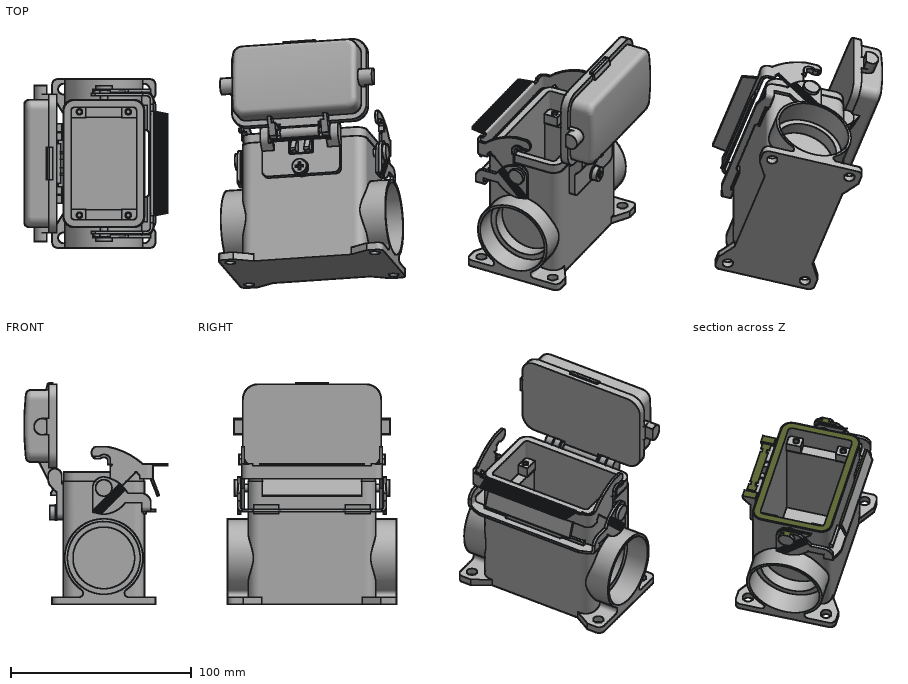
import cadquery as cq
import math

TOTAL_HEIGHT = 122.7

PLATE_LENGTH = 57.3
PLATE_WIDTH = 93.5
PLATE_THICKNESS = 4.0
PLATE_CORNER = 3.3
EAR_OUTER_Y = 37.9
EAR_INNER_Y = 27.7
HOLE_X = 22.3
HOLE_Y = 41.1
HOLE_DIAMETER = 5.8

BODY_LENGTH = 45.0
BODY_WIDTH = 70.7
BODY_TOP = 73.4
BODY_CORNER = 6.1
RIM_BOTTOM = 68.2
RIM_INSET = 0.4
CAVITY_LENGTH = 36.2
CAVITY_WIDTH = 62.1
CAVITY_CORNER = 1.8
CAVITY_NARROW_WIDTH = 51.0
LEDGE_TOP = 55.2
PAD_LENGTH = 8.1
PAD_WIDTH = 5.9
PAD_TOP = 61.4
PAD_HOLE_X = 13.5
PAD_HOLE_Y = 28.6
PAD_HOLE_DIAMETER = 2.6
PAD_HOLE_DEPTH = 7.4
PAD_MOUTH_DIAMETER = 3.3
PAD_MOUTH_DEPTH = 0.6

COLLAR_Z = 25.8
COLLAR_RADIUS = 21.6
COLLAR_MOUTH_RADIUS = 20.1
COLLAR_MOUTH_DEPTH = 13.0
COLLAR_BORE_RADIUS = 17.0
COLLAR_BORE_DEPTH = 20.3
COLLAR_ROOT_RADIUS = 2.2

COVER_BACK_X = -25.9
COVER_FLANGE_X = -30.3
COVER_FRONT_X = -44.2
COVER_CENTER_Z = 98.7
FLANGE_WIDTH = 76.6
FLANGE_HEIGHT = 46.3
FLANGE_CORNER = 8.3
COVER_WIDTH = 70.6
COVER_HEIGHT = 40.0
COVER_CORNER = 5.5
COVER_BULGE = 1.4
COVER_EDGE_ROUND = 3.0
PEG_X = -34.0
PEG_Z = 98.3
PEG_FLAT_X = -31.5
PEG_RADIUS = 4.5
PEG_SPAN = 86.3
PEG_FLAT_ROUND = 1.1
TAB_WIDTH = 17.9
TAB_SLOPE = 0.9

HINGE_X = -27.0
HINGE_Z = 71.3
HINGE_RADIUS = 3.8
BARREL_Z = 70.7
BARREL_RADIUS = 3.2
WEB_BOTTOM = 73.8
BRACKET_X = -26.0
BRACKET_WIDTH = 44.2
BRACKET_BOTTOM = 47.1
BRACKET_TOP = 66.9
BRACKET_CORNER = 3.2
BRACKET_EAR_WIDTH = 4.5
EAR_BACK_BOTTOM = 65.7
GUSSET_WIDTH = 6.9
GUSSET_BOTTOM = 61.9
GUSSET_TOP = 65.3
GUSSET_X = -29.3
KNUCKLE_WIDTH = 33.9
BARREL_WIDTH = 21.8
ARM_WIDTH = 4.0
ARM_RIB_WIDTH = 2.1
ARM_TOP_X = -35.8
ARM_DROP = 2.5
ARM_OVERLAP = 1.2
STRIP_X = (-28.5, -25.8)
STRIP_Z = (67.5, 69.3)

WINDOW_WIDTH = 12.8
WINDOW_BOTTOM = 59.8
WINDOW_CORNER = 1.0
REBATE_WIDTH = 0.6
REBATE_DEPTH = 0.7
LUG_WIDTH = 3.0
LUG_Y = 3.9
LUG_X = -29.2
LUG_TOP_X = -26.1
LUG_BOTTOM = 60.4
LUG_STEP = 1.4
SCREW_Z = 50.8
SCREW_RADIUS = 4.0
SCREW_HEAD_X = -30.0
SCREW_WASHER_RADIUS = 4.3
SCREW_WASHER_THICKNESS = 0.7
CROSS_LENGTH = 4.4
CROSS_WIDTH = 1.1
CROSS_DEPTH = 1.0

WALL_EMBED = 1.2
PIVOT_Z = 64.4
PIN_RADIUS = 2.1
PIN_HEAD_RADIUS = 4.5
PIN_HEAD_THICKNESS = 1.8
INNER_SHEET_Y = 37.4
INNER_SHEET_THICKNESS = 1.5
OUTER_SHEET_Y = 39.4
OUTER_SHEET_THICKNESS = 1.7
HUB_RADIUS = 6.1
BACKING_HALF_WIDTH = 4.9
BACKING_BOTTOM = 51.5
HOOK_TIP = (-4.7, 80.5)
HOOK_NECK = (-1.8, 80.5)
HOOK_CREST = (0.2, 81.4)
HOOK_FOOT_X = 2.1
HOOK_FOOT_Z = 77.3
LIP_OUTER_Y = 40.4
LIP_THICKNESS = 1.6
CROSSBAR_X = 27.2
CROSSBAR_BOTTOM = 69.5
CROSSBAR_TOP = 77.8
CROSSBAR_BEND = 3.7
GRIP_LENGTH = 8.2
GRIP_WIDTH = 57.9
GRIP_TIP_WIDTH = 54.7
GRIP_THICKNESS = 1.2
GRIP_BEND = 1.1
RIB_PITCH = 0.9
RIB_GAP = 0.4
RIB_DEPTH = 0.2
RELIEF_WIDTH = 3.7
RELIEF_DEPTH = 1.1
FLAP_TIP_X = 30.7
FLAP_TIP_Z = 59.9
FLAP_TIP_RUN = 1.1
FLAP_TIP_RISE = 0.5
FLAP_OVERLAP = 0.9
FOOT_X = 21.1
FOOT_TIP_X = 28.7
FOOT_BOTTOM = 51.3
FOOT_THICKNESS = 1.5
FOOT_INNER_Y = 18.4
FOOT_INNER_X = 24.8
FOOT_CHAMFER = 1.0
FOOT_BEND = 2.7
ARM_END_X = 26.0
ARM_END_Z = 54.4
CATCH_X = 23.3
CATCH_BOTTOM = 50.1
CATCH_TOP = 55.2
CATCH_TOP_X = 24.0
CATCH_WIDTH = 13.9
GROOVE_COUNT = 5
GROOVE_LENGTH = 24.5
GROOVE_CENTER = (3.0, 58.4)
GROOVE_SPACING = 1.0
GROOVE_WIDTH = 0.5
GROOVE_DEPTH = 0.4


def box(x_range, y_range, z_range):
    """Axis-aligned block between pairs of limits."""
    size = [high - low for low, high in (x_range, y_range, z_range)]
    return cq.Workplane("XY").box(*size, centered=False).translate((x_range[0], y_range[0], z_range[0]))


def side_plane(y):
    """Sketch plane with local axes X, Z; a negative extrusion runs toward +Y."""
    return cq.Workplane(cq.Plane(origin=(0, y, 0), xDir=(1, 0, 0), normal=(0, -1, 0)))


def face_plane(x):
    """Sketch plane with local axes Y, Z whose extrusions run toward +X."""
    return cq.Workplane("YZ", origin=(x, 0, 0))


def both_sides(shape):
    """The shape together with its mirror image across the XZ plane."""
    return shape.union(shape.mirror("XZ"))


def rod(x, z, radius, y_start, y_end):
    """Cylinder parallel to Y."""
    return side_plane(y_start).center(x, z).circle(radius).extrude(y_start - y_end)


def mounting_plate():
    half_length = PLATE_LENGTH / 2
    half_width = PLATE_WIDTH / 2
    half_body = BODY_LENGTH / 2
    quarter = [
        (half_body, EAR_INNER_Y),
        (half_length, EAR_OUTER_Y),
        (half_length, half_width),
    ]
    outline = quarter + [(-x, y) for x, y in reversed(quarter)]
    outline += [(-x, -y) for x, y in outline]
    plate = cq.Workplane("XY").polyline(outline).close().extrude(PLATE_THICKNESS)
    for sx in (-1, 1):
        for sy in (-1, 1):
            x = sx * half_length
            y = sy * half_width
            nearest = cq.selectors.NearestToPointSelector((x, y, PLATE_THICKNESS / 2))
            plate = plate.edges("|Z").edges(nearest).fillet(PLATE_CORNER)
    return plate


def collar_root():
    """Web between collars and plate, with a concave round tangent to both."""
    root_z = PLATE_THICKNESS + COLLAR_ROOT_RADIUS
    reach = COLLAR_RADIUS + COLLAR_ROOT_RADIUS
    drop = COLLAR_Z - root_z
    root_x = math.sqrt(reach**2 - drop**2)
    tangent_z = COLLAR_Z - drop * COLLAR_RADIUS / reach
    half_width = PLATE_WIDTH / 2
    web = box((-root_x, root_x), (-half_width, half_width), (0, tangent_z))
    for side in (-1, 1):
        web = web.cut(rod(side * root_x, root_z, COLLAR_ROOT_RADIUS, -half_width, half_width))
    return web


def housing():
    half_width = PLATE_WIDTH / 2
    body = cq.Workplane("XY").rect(BODY_LENGTH, BODY_WIDTH).extrude(RIM_BOTTOM)
    body = body.edges("|Z").fillet(BODY_CORNER)
    rim = cq.Workplane("XY", origin=(0, 0, RIM_BOTTOM))
    rim = rim.rect(BODY_LENGTH - 2 * RIM_INSET, BODY_WIDTH - 2 * RIM_INSET).extrude(BODY_TOP - RIM_BOTTOM)
    rim = rim.edges("|Z").fillet(BODY_CORNER - RIM_INSET)
    body = body.union(rim).union(mounting_plate()).union(collar_root())
    body = body.union(rod(0, COLLAR_Z, COLLAR_RADIUS, -half_width, half_width))

    cavity = cq.Workplane("XY", origin=(0, 0, LEDGE_TOP))
    cavity = cavity.rect(CAVITY_LENGTH, CAVITY_WIDTH).extrude(BODY_TOP - LEDGE_TOP)
    cavity = cavity.edges("|Z").fillet(CAVITY_CORNER)
    well = cq.Workplane("XY", origin=(0, 0, PLATE_THICKNESS))
    well = well.rect(CAVITY_LENGTH, CAVITY_NARROW_WIDTH).extrude(LEDGE_TOP - PLATE_THICKNESS)
    pads = cq.Workplane("XY", origin=(0, 0, LEDGE_TOP))
    pads = pads.rect(CAVITY_LENGTH - PAD_LENGTH, CAVITY_WIDTH - PAD_WIDTH, forConstruction=True).vertices()
    pads = pads.rect(PAD_LENGTH, PAD_WIDTH).extrude(PAD_TOP - LEDGE_TOP)
    body = body.cut(cavity.cut(pads)).cut(well)

    pad_holes = cq.Workplane("XY", origin=(0, 0, PAD_TOP))
    pad_holes = pad_holes.rect(2 * PAD_HOLE_X, 2 * PAD_HOLE_Y, forConstruction=True).vertices()
    pad_mouths = pad_holes.circle(PAD_MOUTH_DIAMETER / 2).extrude(-PAD_MOUTH_DEPTH)
    pad_holes = pad_holes.circle(PAD_HOLE_DIAMETER / 2).extrude(-PAD_HOLE_DEPTH).union(pad_mouths)
    plate_holes = cq.Workplane("XY").rect(2 * HOLE_X, 2 * HOLE_Y, forConstruction=True).vertices()
    plate_holes = plate_holes.circle(HOLE_DIAMETER / 2).extrude(PLATE_THICKNESS)
    mouth = rod(0, COLLAR_Z, COLLAR_MOUTH_RADIUS, half_width - COLLAR_MOUTH_DEPTH, half_width)
    bore = rod(0, COLLAR_Z, COLLAR_BORE_RADIUS, half_width - COLLAR_BORE_DEPTH, half_width)
    return body.cut(pad_holes).cut(plate_holes).cut(both_sides(mouth.union(bore)))


def cover():
    flange = face_plane(COVER_FLANGE_X).center(0, COVER_CENTER_Z).rect(FLANGE_WIDTH, FLANGE_HEIGHT)
    flange = flange.extrude(COVER_BACK_X - COVER_FLANGE_X).edges("|X").fillet(FLANGE_CORNER)
    flange_top = COVER_CENTER_Z + FLANGE_HEIGHT / 2

    low = COVER_CENTER_Z - COVER_HEIGHT / 2
    high = COVER_CENTER_Z + COVER_HEIGHT / 2
    edge_x = COVER_FRONT_X + COVER_BULGE
    shell = face_plane(COVER_FRONT_X).center(0, COVER_CENTER_Z).rect(COVER_WIDTH, COVER_HEIGHT)
    shell = shell.extrude(COVER_FLANGE_X - COVER_FRONT_X).edges("|X").fillet(COVER_CORNER)
    bulged = side_plane(-COVER_WIDTH / 2).moveTo(COVER_FLANGE_X, low).lineTo(edge_x, low)
    bulged = bulged.threePointArc((COVER_FRONT_X, COVER_CENTER_Z), (edge_x, high))
    bulged = bulged.lineTo(COVER_FLANGE_X, high).close().extrude(-COVER_WIDTH)
    shell = shell.intersect(bulged).faces("<X").edges().fillet(COVER_EDGE_ROUND)

    pegs = rod(PEG_X, PEG_Z, PEG_RADIUS, -PEG_SPAN / 2, PEG_SPAN / 2)
    peg_z = (PEG_Z - PEG_RADIUS, PEG_Z + PEG_RADIUS)
    peg_limits = box((PEG_X - PEG_RADIUS, PEG_FLAT_X), (-PEG_SPAN / 2, PEG_SPAN / 2), peg_z)
    pegs = pegs.intersect(peg_limits.edges("|Y and >X").fillet(PEG_FLAT_ROUND))
    necks = box((PEG_X, COVER_FLANGE_X), (-FLANGE_WIDTH / 2, FLANGE_WIDTH / 2), peg_z)

    tab_outline = [
        (COVER_FLANGE_X, high),
        (-31.9, high),
        (-31.2, TOTAL_HEIGHT - TAB_SLOPE),
        (-30.1, TOTAL_HEIGHT),
        (-28.4, TOTAL_HEIGHT),
        (-28.4, flange_top),
        (COVER_FLANGE_X, flange_top),
    ]
    tab = side_plane(-TAB_WIDTH / 2).polyline(tab_outline).close().extrude(-TAB_WIDTH)
    return flange.union(shell).union(pegs).union(necks).union(tab)


def cover_hinge_arms():
    """Arms hanging from the cover with the barrel that turns between the bracket ears."""
    half = KNUCKLE_WIDTH / 2
    cover_bottom = COVER_CENTER_Z - COVER_HEIGHT / 2
    flange_bottom = COVER_CENTER_Z - FLANGE_HEIGHT / 2
    arm_outline = [
        (ARM_TOP_X, cover_bottom),
        (HINGE_X - HINGE_RADIUS, HINGE_Z - ARM_DROP),
        (HINGE_X, HINGE_Z),
        (HINGE_X, flange_bottom + ARM_OVERLAP),
        (COVER_FLANGE_X, cover_bottom),
    ]
    rib = side_plane(half - ARM_RIB_WIDTH).polyline(arm_outline).close().extrude(-ARM_RIB_WIDTH)
    arm = side_plane(half - ARM_WIDTH).polyline(arm_outline).close().extrude(-ARM_WIDTH)
    lower_half = box((COVER_FRONT_X, 0), (0, half), (0, flange_bottom))
    knuckle = rod(HINGE_X, HINGE_Z, HINGE_RADIUS, half - ARM_WIDTH, half)
    side_arms = both_sides(rib.union(arm.intersect(lower_half)).union(knuckle))
    pin = rod(HINGE_X, HINGE_Z, HINGE_RADIUS / 2, -BRACKET_WIDTH / 2, BRACKET_WIDTH / 2)
    barrel = rod(HINGE_X, BARREL_Z, BARREL_RADIUS, -BARREL_WIDTH / 2, BARREL_WIDTH / 2)
    web_z = (WEB_BOTTOM, flange_bottom + ARM_OVERLAP)
    web = box((COVER_FLANGE_X, COVER_BACK_X), (-BARREL_WIDTH / 2, BARREL_WIDTH / 2), web_z)
    strip = box(STRIP_X, (-half, half), STRIP_Z)
    return side_arms.union(barrel).union(web).union(strip).union(pin)


def hinge_bracket():
    wall_x = -BODY_LENGTH / 2
    half = BRACKET_WIDTH / 2
    plate = box((BRACKET_X, wall_x), (-half, half), (BRACKET_BOTTOM, BRACKET_TOP))
    plate = plate.edges("|X and <Z").fillet(BRACKET_CORNER)

    left = HINGE_X - HINGE_RADIUS
    right = HINGE_X + HINGE_RADIUS
    ear = side_plane(half - BRACKET_EAR_WIDTH).moveTo(left, HINGE_Z)
    ear = ear.threePointArc((HINGE_X, HINGE_Z + HINGE_RADIUS), (right, HINGE_Z))
    ear = ear.lineTo(right, EAR_BACK_BOTTOM).lineTo(wall_x, EAR_BACK_BOTTOM)
    ear = ear.lineTo(wall_x, WINDOW_BOTTOM).lineTo(BRACKET_X, WINDOW_BOTTOM)
    ear = ear.lineTo(BRACKET_X, GUSSET_BOTTOM)
    ear = ear.lineTo(GUSSET_X, GUSSET_TOP).threePointArc((-30.4, 67.0), (left, 68.6))
    ear = ear.close().extrude(-BRACKET_EAR_WIDTH)

    gusset = side_plane(half - GUSSET_WIDTH).moveTo(BRACKET_X, GUSSET_BOTTOM)
    gusset = gusset.lineTo(GUSSET_X, GUSSET_TOP).lineTo(BRACKET_X, GUSSET_TOP)
    ear = ear.union(gusset.close().extrude(-GUSSET_WIDTH))

    window = box((BRACKET_X, wall_x), (-WINDOW_WIDTH / 2, WINDOW_WIDTH / 2), (WINDOW_BOTTOM, BRACKET_TOP))
    window = window.edges("|X and <Z").fillet(WINDOW_CORNER)
    rebate_half = WINDOW_WIDTH / 2 + REBATE_WIDTH
    rebate_z = (WINDOW_BOTTOM - REBATE_WIDTH, BRACKET_TOP)
    rebate = box((BRACKET_X, BRACKET_X + REBATE_DEPTH), (-rebate_half, rebate_half), rebate_z)
    window = window.union(rebate.edges("|X and <Z").fillet(WINDOW_CORNER + REBATE_WIDTH))
    lug_outline = [
        (wall_x, LUG_BOTTOM),
        (LUG_X, LUG_BOTTOM),
        (LUG_X, LUG_BOTTOM + LUG_STEP),
        (LUG_TOP_X, BRACKET_TOP),
        (wall_x, BRACKET_TOP),
    ]
    lug = side_plane(LUG_Y - LUG_WIDTH / 2).polyline(lug_outline).close().extrude(-LUG_WIDTH)
    return plate.cut(window).union(both_sides(ear)).union(both_sides(lug))


def bracket_screw():
    head = face_plane(SCREW_HEAD_X).center(0, SCREW_Z).circle(SCREW_RADIUS)
    head = head.extrude(-BODY_LENGTH / 2 - SCREW_HEAD_X)
    washer = face_plane(BRACKET_X - SCREW_WASHER_THICKNESS).center(0, SCREW_Z).circle(SCREW_WASHER_RADIUS)
    washer = washer.extrude(SCREW_WASHER_THICKNESS)
    cross = face_plane(SCREW_HEAD_X).center(0, SCREW_Z)
    slot = cross.rect(CROSS_LENGTH, CROSS_WIDTH).extrude(CROSS_DEPTH)
    slot = slot.union(cross.rect(CROSS_WIDTH, CROSS_LENGTH).extrude(CROSS_DEPTH))
    return head.union(washer).cut(slot)


def outer_arm():
    """Hub around the pivot with the lower arm reaching toward +X."""
    sketch = side_plane(OUTER_SHEET_Y).moveTo(-HUB_RADIUS, PIVOT_Z)
    hub_low = HUB_RADIUS * math.sqrt(0.5)
    sketch = sketch.threePointArc((-hub_low, PIVOT_Z + hub_low), (0, PIVOT_Z + HUB_RADIUS))
    sketch = sketch.threePointArc((7.5, 67.7), (12.0, 63.2)).lineTo(13.5, 61.5).lineTo(FOOT_X, 61.5)
    sketch = sketch.threePointArc((23.9, 60.4), (ARM_END_X, 57.3))
    sketch = sketch.lineTo(ARM_END_X, ARM_END_Z).lineTo(FOOT_X, ARM_END_Z)
    sketch = sketch.lineTo(FOOT_X, 56.3).lineTo(11.9, 56.3)
    sketch = sketch.threePointArc((6.8, 51.8), (0.6, 50.0)).lineTo(-1.2, 50.0)
    arm = sketch.lineTo(-HUB_RADIUS, 51.0).close().extrude(-OUTER_SHEET_THICKNESS)

    outer_y = OUTER_SHEET_Y + OUTER_SHEET_THICKNESS
    for index in range(GROOVE_COUNT):
        shift = (index - GROOVE_COUNT / 2 + 1) * GROOVE_SPACING
        groove = cq.Workplane("XY").box(GROOVE_LENGTH, 2 * GROOVE_DEPTH, GROOVE_WIDTH)
        groove = groove.translate((0, 0, -shift)).rotate((0, 0, 0), (0, 1, 0), -45)
        arm = arm.cut(groove.translate((GROOVE_CENTER[0], outer_y, GROOVE_CENTER[1])))
    return arm


def inner_sheet():
    """Upper lever with its hook, and the tail that backs the hub of the outer sheet."""
    lever = side_plane(INNER_SHEET_Y).moveTo(3.4, CROSSBAR_BOTTOM).lineTo(3.4, 76.1)
    lever = lever.lineTo(4.5, HOOK_FOOT_Z).lineTo(HOOK_FOOT_X, HOOK_FOOT_Z)
    lever = lever.lineTo(HOOK_FOOT_X, 80.3).threePointArc(HOOK_CREST, HOOK_NECK)
    lever = lever.lineTo(*HOOK_TIP).threePointArc((-6.9, 83.8), (-4.7, 87.3))
    lever = lever.lineTo(2.2, 87.3).threePointArc((12.0, 84.1), (21.5, CROSSBAR_TOP))
    lever = lever.lineTo(CROSSBAR_X - CROSSBAR_BEND, CROSSBAR_TOP)
    lever = lever.lineTo(CROSSBAR_X - CROSSBAR_BEND, CROSSBAR_BOTTOM).lineTo(21.6, CROSSBAR_BOTTOM)
    lever = lever.lineTo(17.9, 73.4).lineTo(8.8, 64.3).lineTo(0, PIVOT_Z).close()
    lever = lever.extrude(-INNER_SHEET_THICKNESS)
    inner_y = (INNER_SHEET_Y, INNER_SHEET_Y + INNER_SHEET_THICKNESS)
    tail = box((-BACKING_HALF_WIDTH, BACKING_HALF_WIDTH), inner_y, (BACKING_BOTTOM, PIVOT_Z))
    eye = rod(0, PIVOT_Z, BACKING_HALF_WIDTH, *inner_y)
    return lever.union(tail).union(eye)


def hook_lip():
    """Lip bent outward along the underside of the hook."""
    lip = side_plane(INNER_SHEET_Y).moveTo(*HOOK_TIP).lineTo(*HOOK_NECK)
    lip = lip.threePointArc(HOOK_CREST, (HOOK_FOOT_X, 80.3)).lineTo(HOOK_FOOT_X, HOOK_FOOT_Z)
    lip = lip.lineTo(HOOK_FOOT_X + LIP_THICKNESS, HOOK_FOOT_Z).lineTo(HOOK_FOOT_X + LIP_THICKNESS, 80.5)
    lip = lip.threePointArc((0.5, 83.0), (-2.3, 82.0)).lineTo(-5.6, 82.0).close()
    return lip.extrude(INNER_SHEET_Y - LIP_OUTER_Y)


def crossbar():
    """Bar joining the two levers behind the housing, with the grip and the flap on it."""
    outer_y = INNER_SHEET_Y + INNER_SHEET_THICKNESS
    start_x = CROSSBAR_X - CROSSBAR_BEND
    bar = box((start_x - CROSSBAR_BEND, CROSSBAR_X), (-outer_y, outer_y), (CROSSBAR_BOTTOM, CROSSBAR_TOP))
    bar = bar.edges("|Z and >X").fillet(CROSSBAR_BEND)
    inside_x = CROSSBAR_X - INNER_SHEET_THICKNESS
    inside = box((0, inside_x), (-INNER_SHEET_Y, INNER_SHEET_Y), (CROSSBAR_BOTTOM, CROSSBAR_TOP))
    inside = inside.edges("|Z and >X").fillet(CROSSBAR_BEND - INNER_SHEET_THICKNESS)
    relief_half = GRIP_WIDTH / 2 + RELIEF_WIDTH
    relief_z = (CROSSBAR_TOP - RELIEF_DEPTH, CROSSBAR_TOP)
    relief = box((inside_x, CROSSBAR_X), (-relief_half, relief_half), relief_z)
    bar = bar.cut(inside).cut(relief)

    tip_x = CROSSBAR_X + GRIP_LENGTH
    grip = cq.Workplane("XY", origin=(0, 0, CROSSBAR_TOP - GRIP_THICKNESS)).polyline([
        (inside_x, -GRIP_WIDTH / 2),
        (CROSSBAR_X, -GRIP_WIDTH / 2),
        (tip_x, -GRIP_TIP_WIDTH / 2),
        (tip_x, GRIP_TIP_WIDTH / 2),
        (CROSSBAR_X, GRIP_WIDTH / 2),
        (inside_x, GRIP_WIDTH / 2),
    ]).close().extrude(GRIP_THICKNESS)
    grip = grip.edges("|Y and <X and >Z").fillet(GRIP_BEND)
    rib_count = int(GRIP_LENGTH / RIB_PITCH)
    for index in range(rib_count):
        x = CROSSBAR_X + (index + 0.5) * RIB_PITCH
        groove_z = (CROSSBAR_TOP - RIB_DEPTH, CROSSBAR_TOP)
        grip = grip.cut(box((x, x + RIB_GAP), (-GRIP_WIDTH / 2, GRIP_WIDTH / 2), groove_z))

    flap = side_plane(-GRIP_TIP_WIDTH / 2).polyline([
        (inside_x, CROSSBAR_BOTTOM + FLAP_OVERLAP),
        (inside_x, CROSSBAR_BOTTOM),
        (FLAP_TIP_X - FLAP_TIP_RUN, FLAP_TIP_Z),
        (FLAP_TIP_X, FLAP_TIP_Z + FLAP_TIP_RISE),
        (CROSSBAR_X, CROSSBAR_BOTTOM),
        (CROSSBAR_X, CROSSBAR_BOTTOM + FLAP_OVERLAP),
    ]).close().extrude(-GRIP_TIP_WIDTH)
    return bar.union(grip).union(flap)


def lever_foot():
    """End of the outer arm bent inward into a flat foot that runs behind the housing."""
    outer_y = OUTER_SHEET_Y + OUTER_SHEET_THICKNESS
    foot_top = FOOT_BOTTOM + FOOT_THICKNESS
    bend = box((FOOT_X, FOOT_TIP_X), (-outer_y, outer_y), (FOOT_BOTTOM, ARM_END_Z))
    bend = bend.edges("|X and <Z").fillet(FOOT_BEND)
    inside = box((FOOT_X, FOOT_TIP_X), (-OUTER_SHEET_Y, OUTER_SHEET_Y), (foot_top, ARM_END_Z))
    inside = inside.edges("|X and <Z").fillet(FOOT_BEND - FOOT_THICKNESS)
    half_plan = [
        (FOOT_INNER_X, FOOT_INNER_Y - FOOT_CHAMFER),
        (FOOT_INNER_X - FOOT_CHAMFER, FOOT_INNER_Y),
        (FOOT_X, FOOT_INNER_Y),
        (FOOT_X, outer_y),
        (ARM_END_X, outer_y),
        (ARM_END_X, 38.7),
        (27.2, 36.6),
        (FOOT_TIP_X, 32.4),
    ]
    plan = half_plan + [(x, -y) for x, y in reversed(half_plan)]
    blank = cq.Workplane("XY", origin=(0, 0, FOOT_BOTTOM)).polyline(plan).close()
    return bend.cut(inside).intersect(blank.extrude(ARM_END_Z - FOOT_BOTTOM))


def wall_catch():
    """Wedge on the housing wall that the foot rests against."""
    inside_wall_x = CAVITY_LENGTH / 2 + WALL_EMBED
    outline = [
        (inside_wall_x, CATCH_BOTTOM),
        (CATCH_X, CATCH_BOTTOM),
        (CATCH_TOP_X, CATCH_TOP),
        (inside_wall_x, CATCH_TOP),
    ]
    return side_plane(FOOT_INNER_Y).polyline(outline).close().extrude(-CATCH_WIDTH)


def locking_lever():
    head_y = OUTER_SHEET_Y + OUTER_SHEET_THICKNESS
    tip_y = head_y + PIN_HEAD_THICKNESS
    pin = rod(0, PIVOT_Z, PIN_RADIUS, CAVITY_WIDTH / 2 + WALL_EMBED, tip_y)
    head = rod(0, PIVOT_Z, PIN_HEAD_RADIUS, head_y, tip_y)
    side = inner_sheet().union(outer_arm()).union(hook_lip()).union(wall_catch()).union(pin).union(head)
    return both_sides(side).union(crossbar()).union(lever_foot())


result = housing().union(hinge_bracket()).union(bracket_screw())
result = result.union(cover_hinge_arms()).union(cover()).union(locking_lever())